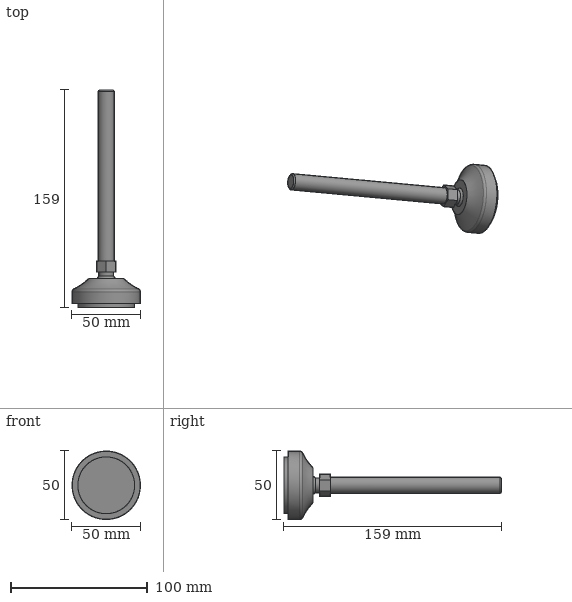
import math

import cadquery as cq

OVERALL_LENGTH = 159.0

SOLE_DIAMETER = 41.5
SOLE_HEIGHT = 3.0
PAD_DIAMETER = 50.0
RIM_TOP = 11.5
SHOULDER_HEIGHT = 2.0
SHOULDER_WIDTH = 1.0
PAD_TOP = 21.3
PAD_TOP_DIAMETER = 25.5
FLANK_SAG = 0.6

NECK_DIAMETER = 11.0
FLARE_DIAMETER = 13.5
FLARE_HEIGHT = 1.7
HEX_BOTTOM = 26.0
HEX_HEIGHT = 8.0
HEX_ACROSS_FLATS = 14.0
ROD_DIAMETER = 12.0
ROD_TIP_CHAMFER = 1.0


def make_pad_and_neck():
    """Revolve the pad, its slightly hollow flank and the flared neck about the Y axis."""
    sole_radius = SOLE_DIAMETER / 2
    pad_radius = PAD_DIAMETER / 2
    neck_radius = NECK_DIAMETER / 2
    shoulder_end = (pad_radius - SHOULDER_WIDTH, RIM_TOP + SHOULDER_HEIGHT)
    pad_top_edge = (PAD_TOP_DIAMETER / 2, PAD_TOP)
    profile = (
        cq.Workplane("XY")
        .lineTo(sole_radius, 0)
        .lineTo(sole_radius, SOLE_HEIGHT)
        .lineTo(pad_radius, SOLE_HEIGHT)
        .lineTo(pad_radius, RIM_TOP)
        .tangentArcPoint(shoulder_end, relative=False)
        .sagittaArc(pad_top_edge, FLANK_SAG)
        .lineTo(FLARE_DIAMETER / 2, PAD_TOP)
        .lineTo(neck_radius, PAD_TOP + FLARE_HEIGHT)
        .lineTo(neck_radius, HEX_BOTTOM)
        .lineTo(0, HEX_BOTTOM)
        .close()
    )
    return profile.revolve(360, (0, 0), (0, 1))


def make_hex_collar():
    """Hexagon with flats facing +X and -X and corners on +Z and -Z."""
    across_corners = HEX_ACROSS_FLATS / math.cos(math.radians(30))
    return (
        cq.Workplane("XZ", origin=(0, HEX_BOTTOM, 0))
        .transformed(rotate=(0, 0, 90))
        .polygon(6, across_corners)
        .extrude(-HEX_HEIGHT)
    )


def make_rod():
    """Plain rod from the collar to the chamfered tip."""
    rod_start = HEX_BOTTOM + HEX_HEIGHT
    return (
        cq.Workplane("XZ", origin=(0, rod_start, 0))
        .circle(ROD_DIAMETER / 2)
        .extrude(-(OVERALL_LENGTH - rod_start))
        .faces(">Y")
        .chamfer(ROD_TIP_CHAMFER)
    )


result = make_pad_and_neck().union(make_hex_collar()).union(make_rod())